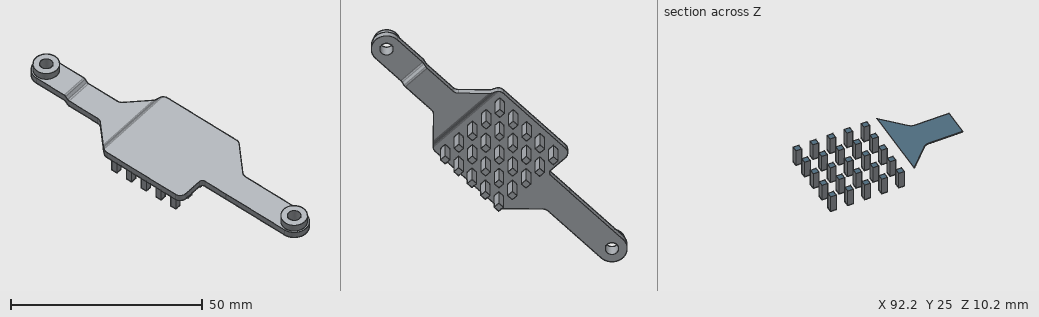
import cadquery as cq
import math

overall_length = 92.18
body_width = 25.0
arm_width = 8.0
end_radius = arm_width / 2
hole_x = overall_length / 2 - end_radius

flare_rise = (body_width - arm_width) / 2
body_left_x = -12.0
body_right_x = 14.05
right_flare_x = 13.0
outline_radius = 2.0
notch_radius = 1.0
ledge_depth = 0.02
ledge_radius = 2.0

plate_thickness = 2.0
dip_depth = 1.1
bend_radius = 0.7
left_bend_x = -32.4
right_bend_x = -12.8

boss_diameter = 7.0
boss_height = 2.2
hole_diameter = 3.5

pin_count = 5
pin_pitch = 5.0
pin_width = 1.75
pin_length = 6.0


def make_outline():
    """Prism with the flat outline, tall enough to cover the whole stepped section."""
    half_arm = arm_width / 2
    half_body = body_width / 2
    flare_root_x = body_left_x - flare_rise
    right_root_x = right_flare_x + flare_rise
    ledge_end_x = right_root_x + outline_radius * math.tan(math.pi / 8)
    ledge_angle = math.acos(1 - ledge_depth / ledge_radius)

    def ledge_point(angle):
        return (
            ledge_end_x - ledge_radius * math.sin(angle),
            -half_arm - ledge_radius * (1 - math.cos(angle)),
        )

    section_height = plate_thickness + dip_depth
    prism = (
        cq.Workplane("XY", origin=(0, 0, -section_height))
        .moveTo(-hole_x, half_arm)
        .threePointArc((-hole_x - end_radius, 0), (-hole_x, -half_arm))
        .lineTo(flare_root_x, -half_arm)
        .lineTo(body_left_x, -half_body)
        .lineTo(body_right_x, -half_body)
        .lineTo(body_right_x, -half_arm - ledge_depth)
        .lineTo(*ledge_point(ledge_angle))
        .threePointArc(ledge_point(ledge_angle / 2), ledge_point(0))
        .lineTo(hole_x, -half_arm)
        .threePointArc((hole_x + end_radius, 0), (hole_x, half_arm))
        .lineTo(right_root_x, half_arm)
        .lineTo(right_flare_x, half_body)
        .lineTo(body_left_x, half_body)
        .lineTo(flare_root_x, half_arm)
        .close()
        .extrude(section_height)
    )
    rounded_corners = [
        (flare_root_x, -half_arm, outline_radius),
        (body_left_x, -half_body, outline_radius),
        (body_right_x, -half_body, outline_radius),
        (body_right_x, -half_arm - ledge_depth, notch_radius),
        (right_root_x, half_arm, outline_radius),
        (right_flare_x, half_body, outline_radius),
        (body_left_x, half_body, outline_radius),
        (flare_root_x, half_arm, outline_radius),
    ]
    for x, y, radius in rounded_corners:
        corner = cq.NearestToPointSelector((x, y, -section_height / 2))
        prism = prism.edges("|Z").edges(corner).fillet(radius)
    return prism


def make_section():
    """Stepped plate of constant vertical thickness, as wide as the body, with rounded bends."""
    half_length = overall_length / 2

    def surface(z):
        return [
            (-half_length, z),
            (left_bend_x, z),
            (left_bend_x + dip_depth, z - dip_depth),
            (right_bend_x - dip_depth, z - dip_depth),
            (right_bend_x, z),
            (half_length, z),
        ]

    top = surface(0)
    underside = surface(-plate_thickness)
    section = (
        cq.Workplane("XZ")
        .polyline(top + underside[::-1])
        .close()
        .extrude(body_width / 2, both=True)
    )
    bend_margin = 2 * dip_depth
    bend_region = cq.selectors.BoxSelector(
        (left_bend_x - bend_margin, -body_width, -2 * plate_thickness),
        (right_bend_x + bend_margin, body_width, plate_thickness),
    )
    return section.edges("|Y").edges(bend_region).fillet(bend_radius)


def add_bosses(plate):
    """Round bosses on both arm ends with through holes."""
    ends = [(-hole_x, 0), (hole_x, 0)]
    bosses = cq.Workplane("XY").pushPoints(ends).circle(boss_diameter / 2).extrude(boss_height)
    holes = (
        cq.Workplane("XY", origin=(0, 0, boss_height))
        .pushPoints(ends)
        .circle(hole_diameter / 2)
        .extrude(-boss_height - plate_thickness)
    )
    return plate.union(bosses).cut(holes)


def add_pins(plate):
    """Square grid of square pins hanging from the underside of the body."""
    pins = (
        cq.Workplane("XY", origin=(0, 0, -plate_thickness))
        .rarray(pin_pitch, pin_pitch, pin_count, pin_count)
        .rect(pin_width, pin_width)
        .extrude(-pin_length)
    )
    return plate.union(pins)


result = add_pins(add_bosses(make_outline().intersect(make_section())))